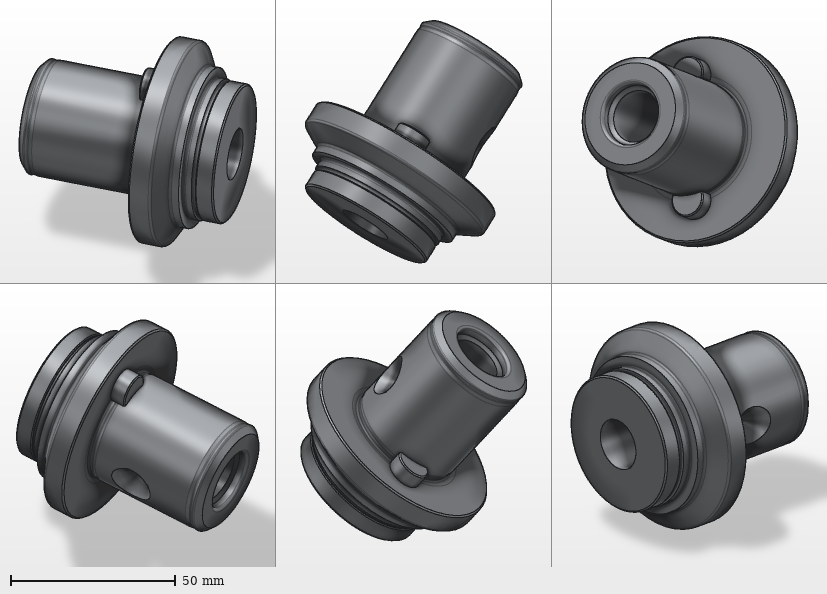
import cadquery as cq
import math


shank_radius = 18.0
shank_length = 40.0
nose_length = 1.95
nose_radius = 15.85
nose_edge_fillet = 0.6

groove_start = 2.35
groove_bottom = 3.3
groove_end = 4.75
groove_depth = 0.28
groove_fillet = 0.8

undercut_length = 2.5
undercut_depth = 0.3
undercut_face_depth = 0.2
undercut_fillet = 0.6
undercut_taper = math.radians(15)
undercut_face_radius = 19.8

flange_radius = 32.0
flange_edge_chamfer = 0.5
flange_slope_start = 47.08
flange_slope_angle = math.radians(60)
flange_slope_fillet = 1.0
neck_radius = 25.0
neck_end = 54.0

seat_radius = 22.0
seat_start = 55.3
seat_end = 57.1
seat_undercut_depth = 0.15
seat_undercut_fillet = 0.35
collar_groove_radius = 21.0
collar_groove_fillet = 0.2
collar_radius = 21.7
collar_start = 58.2
collar_front_chamfer = 0.35
collar_rear_chamfer = 0.5
total_length = 63.98

bore_radius = 8.0
bore_mouth_radius = 9.5
bore_mouth_fillet = 1.0
bore_mouth_depth = 3.0
bore_cone_angle = math.radians(60)

dimple_x = 24.5
dimple_radius = 7.0
dimple_half_angle = math.radians(45)

pin_radius = 5.5
pin_length = 5.0
pin_offset = neck_radius - pin_radius
pin_chamfer = 0.4
pin_clearance_radius = 18.5


def round_corner(before, corner, after, radius):
    """Return start, middle and end of the arc that rounds a corner of an outline."""
    ax, ay = before[0] - corner[0], before[1] - corner[1]
    bx, by = after[0] - corner[0], after[1] - corner[1]
    a_length = math.hypot(ax, ay)
    b_length = math.hypot(bx, by)
    ax, ay = ax / a_length, ay / a_length
    bx, by = bx / b_length, by / b_length
    half_angle = math.acos(ax * bx + ay * by) / 2
    setback = radius / math.tan(half_angle)
    middle_distance = radius / math.sin(half_angle) - radius
    mx, my = ax + bx, ay + by
    m_length = math.hypot(mx, my)
    start = (corner[0] + ax * setback, corner[1] + ay * setback)
    middle = (corner[0] + mx / m_length * middle_distance, corner[1] + my / m_length * middle_distance)
    end = (corner[0] + bx * setback, corner[1] + by * setback)
    return start, middle, end


def revolve_outline(corners):
    """Revolve (x, radius, fillet) corners about the X axis; a zero fillet keeps the corner sharp."""
    points = [(x, radius) for x, radius, _ in corners]
    outline = cq.Workplane("XY").moveTo(*points[0])
    for i in range(1, len(corners)):
        fillet = corners[i][2]
        if fillet == 0:
            outline = outline.lineTo(*points[i])
        else:
            after = points[(i + 1) % len(points)]
            start, middle, end = round_corner(points[i - 1], points[i], after, fillet)
            outline = outline.lineTo(*start).threePointArc(middle, end)
    return outline.close().revolve(360, (0, 0, 0), (1, 0, 0))


def shank_corners():
    undercut_start = shank_length - undercut_length
    undercut_floor = shank_radius - undercut_depth
    return [
        (0, nose_radius, 0),
        (nose_length, shank_radius, nose_edge_fillet),
        (groove_start, shank_radius, 0),
        (groove_bottom, shank_radius - groove_depth, groove_fillet),
        (groove_end, shank_radius, 0),
        (undercut_start, shank_radius, 0),
        (undercut_start + undercut_depth / math.tan(undercut_taper), undercut_floor, undercut_fillet),
        (shank_length + undercut_face_depth, undercut_floor, undercut_fillet),
        (shank_length, undercut_face_radius, 0),
    ]


def flange_corners():
    slope_length = (flange_radius - neck_radius) / math.tan(flange_slope_angle)
    return [
        (shank_length, flange_radius - flange_edge_chamfer, 0),
        (shank_length + flange_edge_chamfer, flange_radius, 0),
        (flange_slope_start, flange_radius, flange_slope_fillet),
        (flange_slope_start + slope_length, neck_radius, flange_slope_fillet),
        (neck_end, neck_radius, 0),
    ]


def spigot_corners():
    seat_undercut_radius = seat_radius - seat_undercut_depth
    seat_undercut_end = seat_start - seat_undercut_depth / math.tan(undercut_taper)
    return [
        (neck_end, seat_undercut_radius, seat_undercut_fillet),
        (seat_undercut_end, seat_undercut_radius, seat_undercut_fillet),
        (seat_start, seat_radius, 0),
        (seat_end, seat_radius, 0),
        (seat_end, collar_groove_radius, collar_groove_fillet),
        (collar_start, collar_groove_radius, 0),
        (collar_start, collar_radius - collar_front_chamfer, 0),
        (collar_start + collar_front_chamfer, collar_radius, 0),
        (total_length - collar_rear_chamfer, collar_radius, 0),
        (total_length, collar_radius - collar_rear_chamfer, 0),
    ]


def bore_corners():
    cone_length = (bore_mouth_radius - bore_radius) / math.tan(bore_cone_angle)
    return [
        (total_length, bore_radius, 0),
        (bore_mouth_depth + cone_length, bore_radius, 0),
        (bore_mouth_depth, bore_mouth_radius, 0),
        (0, bore_mouth_radius, bore_mouth_fillet),
    ]


def make_dimple_cutter():
    """Cone whose base lies level with the +Y side of the shank and whose tip points inward."""
    dimple_depth = dimple_radius / math.tan(dimple_half_angle)
    cone = cq.Solid.makeCone(
        dimple_radius,
        0,
        dimple_depth,
        pnt=cq.Vector(dimple_x, shank_radius, 0),
        dir=cq.Vector(0, -1, 0),
    )
    return cq.Workplane(obj=cone)


def make_adapter():
    corners = shank_corners() + flange_corners() + spigot_corners() + bore_corners()
    return revolve_outline(corners).cut(make_dimple_cutter())


def make_driving_pin(side):
    """Pin standing on the flange face, hollowed to clear the shank; side is +1 (top) or -1."""
    pin = (
        cq.Workplane("YZ", origin=(shank_length, 0, side * pin_offset))
        .circle(pin_radius)
        .extrude(-pin_length)
        .faces("<X")
        .chamfer(pin_chamfer)
    )
    clearance = cq.Workplane("YZ").circle(pin_clearance_radius).extrude(shank_length)
    return pin.cut(clearance)


adapter = make_adapter()
driving_pins = [make_driving_pin(side) for side in (1, -1)]

result = cq.Compound.makeCompound([adapter.val()] + [pin.val() for pin in driving_pins])